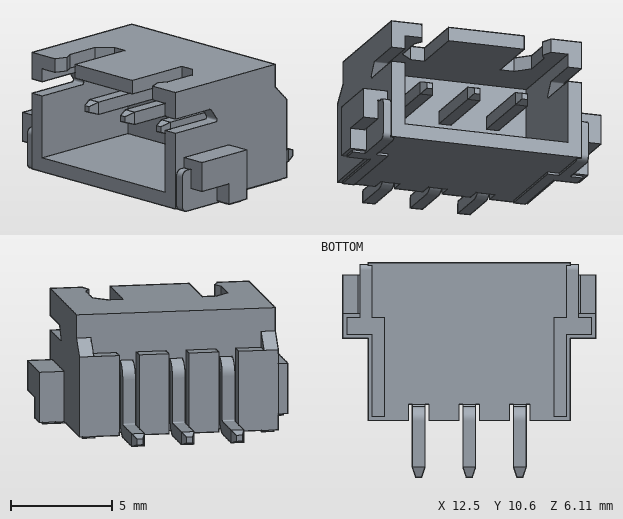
import cadquery as cq


body_width = 10.0
body_depth = 7.8
roof_depth = 7.0
body_height = 6.0
side_wall = 0.72
roof_thickness = 0.7
back_wall = 1.0
rear_chamfer = body_depth - roof_depth
rear_chamfer_top = 4.83
rear_step_height = rear_chamfer_top - rear_chamfer
half_width = body_width / 2
cavity_width = body_width - 2 * side_wall
cavity_depth = roof_depth - back_wall
cavity_height = body_height - roof_thickness - side_wall

tongue_half_width = 1.99
slot_depth = 3.48
slot_outer = 3.4
slot_chamfer = 0.68
barb_start = 1.06
barb_tip = 0.62
barb_projection = 0.24

side_slot_bottom = 3.9
side_slot_top = 4.63
side_slot_top_depth = 2.47
side_slot_bottom_depth = 3.01
side_slot_radius = 0.1

pin_count = 3
pin_pitch = 2.5
pin_size = 0.635
pin_tip_size = 0.3
pin_taper = 0.5
pin_height = 3.32
pin_front = 1.34
pin_leg_back = 7.75
bend_inner_radius = 0.2
bend_outer_radius = bend_inner_radius + pin_size
lower_inner_radius = 0.06
lower_outer_radius = lower_inner_radius + pin_size
pin_notch_width = 1.0
tail_end = 10.6
seating_drop = 0.11

ear_span = 12.5
ear_width = (ear_span - body_width) / 2
ear_front = 0.6
ear_back = 3.74
ear_height = 2.53
ear_relief_back = 2.5
ear_relief_height = 1.04
channel_outer = 5.49

tab_inner = 4.81
tab_outer = 5.4
tab_front = 0.08
tab_back = 3.55
tab_height = 2.0
tab_radius = 0.3
foot_inner = 4.19
foot_outer = 6.05
foot_front = 2.7
foot_strip_back = 7.6


def box(x_range, y_range, z_range):
    """Box between the given limits on each axis."""
    size = [high - low for low, high in (x_range, y_range, z_range)]
    return cq.Workplane("XY").box(*size, centered=False).translate((x_range[0], y_range[0], z_range[0]))


def extrude_side_profile(profile, width):
    """Extrude a closed YZ profile symmetrically about X = 0."""
    return profile.extrude(width / 2, both=True)


def both_sides(shape):
    """Shape together with its mirror image across X = 0."""
    return shape.union(shape.mirror("YZ"))


def make_shell():
    """Housing outline with the open mating cavity and the stepped rear."""
    outline = cq.Workplane("YZ").polyline([
        (0, 0),
        (body_depth, 0),
        (body_depth, rear_step_height),
        (roof_depth, rear_chamfer_top),
        (roof_depth, body_height),
        (0, body_height),
    ]).close()
    shell = extrude_side_profile(outline, body_width)
    cavity_x = (-cavity_width / 2, cavity_width / 2)
    cavity = box(cavity_x, (0, cavity_depth), (side_wall, side_wall + cavity_height))
    rear_step = box(cavity_x, (roof_depth, body_depth), (rear_step_height, body_height))
    return shell.cut(cavity).cut(rear_step)


def make_roof_slots():
    """Key slots in the roof with a chamfered inner end and a barb near the mouth."""
    slot = cq.Workplane("XY").polyline([
        (tongue_half_width, 0),
        (tongue_half_width, slot_depth),
        (slot_outer - slot_chamfer, slot_depth),
        (slot_outer, slot_depth - slot_chamfer),
        (slot_outer, barb_start),
        (slot_outer - barb_projection, barb_tip),
        (slot_outer, 0),
    ]).close().extrude(roof_thickness)
    return both_sides(slot.translate((0, 0, body_height - roof_thickness)))


def make_side_slots():
    """Slot across both side walls with a slanted, rounded end."""
    profile = cq.Workplane("YZ").polyline([
        (0, side_slot_bottom),
        (side_slot_bottom_depth, side_slot_bottom),
        (side_slot_top_depth, side_slot_top),
        (0, side_slot_top),
    ]).close()
    slot = extrude_side_profile(profile, body_width)
    return slot.edges("|X").edges("not <Y").fillet(side_slot_radius)


def make_ear():
    """Right-hand ear with an undercut front and a channel clearing the hold-down tab."""
    ear = box((half_width, half_width + ear_width), (ear_front, ear_back), (0, ear_height))
    relief = box((half_width, half_width + ear_width), (ear_front, ear_relief_back), (0, ear_relief_height))
    channel = box((half_width, channel_outer), (ear_front, ear_relief_back), (0, tab_height))
    return ear.cut(relief).cut(channel)


def make_tab():
    """Right-hand hold-down tab: upright blade, outer foot and long inner foot."""
    blade = box((tab_inner, tab_outer), (tab_front, tab_back), (-seating_drop, tab_height))
    blade = blade.edges("|X and <Y").fillet(tab_radius)
    outer_foot = box((tab_outer, foot_outer), (foot_front, tab_back), (-seating_drop, 0))
    inner_foot = box((foot_inner, tab_inner), (foot_front, foot_strip_back), (-seating_drop, 0))
    return blade.union(outer_foot).union(inner_foot)


def make_pin_tip(base_y, center_z, direction):
    """Square taper along Y, pointing to the front (-1) or the rear (+1)."""
    plane = cq.Plane(origin=(0, base_y, center_z), xDir=(1, 0, 0), normal=(0, direction, 0))
    base = cq.Workplane(plane).rect(pin_size, pin_size)
    return base.workplane(offset=pin_taper).rect(pin_tip_size, pin_tip_size).loft()


def round_bend(shape, y, z, radius):
    """Round the X-direction edge of shape nearest to (y, z)."""
    corner = cq.selectors.NearestToPointSelector((0, y, z))
    return shape.edges("|X").edges(corner).fillet(radius)


def make_pin():
    """Contact bent from the cavity down to a rear solder tail, both ends tapered."""
    half = pin_size / 2
    shaft_front = pin_front + pin_taper
    tail_back = tail_end - pin_taper
    tail_height = half - seating_drop
    leg_front = pin_leg_back - pin_size
    shaft = box((-half, half), (shaft_front, pin_leg_back), (pin_height - half, pin_height + half))
    leg = box((-half, half), (leg_front, pin_leg_back), (-seating_drop, pin_height + half))
    tail = box((-half, half), (leg_front, tail_back), (-seating_drop, pin_size - seating_drop))
    pin = shaft.union(leg).union(tail)

    pin = round_bend(pin, pin_leg_back, pin_height + half, bend_outer_radius)
    pin = round_bend(pin, leg_front, pin_height - half, bend_inner_radius)
    pin = round_bend(pin, leg_front, -seating_drop, lower_outer_radius)
    pin = round_bend(pin, pin_leg_back, pin_size - seating_drop, lower_inner_radius)
    return pin.union(make_pin_tip(shaft_front, pin_height, -1)).union(make_pin_tip(tail_back, tail_height, 1))


housing = make_shell().cut(make_roof_slots()).cut(make_side_slots())
housing = housing.union(both_sides(make_ear()))

pin_positions = [(index - (pin_count - 1) / 2) * pin_pitch for index in range(pin_count)]
half_notch = pin_notch_width / 2
for pin_x in pin_positions:
    notch = box((pin_x - half_notch, pin_x + half_notch), (roof_depth, body_depth), (0, rear_step_height))
    housing = housing.cut(notch)

result = housing.union(both_sides(make_tab()))
for pin_x in pin_positions:
    result = result.union(make_pin().translate((pin_x, 0, 0)))